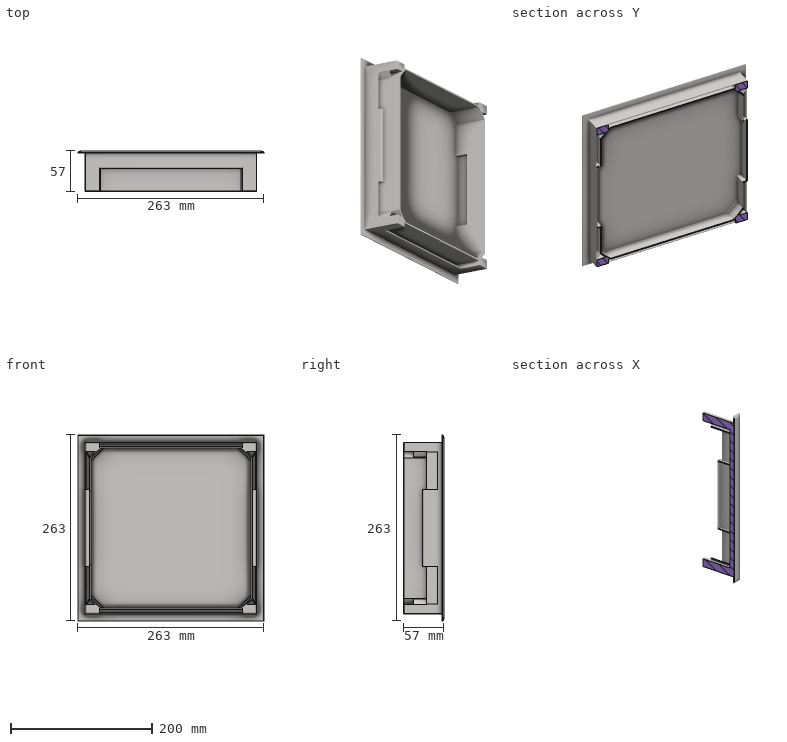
import cadquery as cq
import math

PLATE_SIDE = 263.0
COVER_THICKNESS = 1.8
COVER_CROWN_WIDTH = 5.3
FLANGE_THICKNESS = 1.3
TOTAL_DEPTH = 57.0
TIP_HEIGHT = TOTAL_DEPTH - COVER_THICKNESS

BOX_SIDE = 242.7
BOX_WALL = 2.0
SIDE_WALL = 1.3
WALL_DROP = 32.0
WALL_HEIGHT = TIP_HEIGHT - WALL_DROP
WALL_ROUNDING = 0.92
FLOOR_HEIGHT = 7.5

LEG_WIDTH = 20.0
LEG_BREADTH = 13.0
LEG_ROUNDING = 0.92

RING_SIDE = 231.0
RING_WALL = 2.0
RING_CORNER = 16.0
CORNER_BOW = 0.8

GUSSET_CORNER = 19.2
GUSSET_HEIGHT = 1.5

TAB_LENGTH = 108.5
TAB_DROP = 26.3
TAB_TOP = TIP_HEIGHT - TAB_DROP
TAB_SKIN = 1.8
SLOT_HEIGHT = 19.2
SLOT_TOP = FLOOR_HEIGHT + SLOT_HEIGHT
WEB_WALL = 1.0
WEB_DROP = 14.0
WEB_TOP = TIP_HEIGHT - WEB_DROP

BOX_HALF = BOX_SIDE / 2
RING_HALF = RING_SIDE / 2
RING_INNER_HALF = RING_HALF - RING_WALL
RING_INNER_CORNER = RING_CORNER - RING_WALL * (2 - math.sqrt(2))
SIGNS = (1, -1)
CORNERS = [(sx, sz) for sx in SIGNS for sz in SIGNS]


def plane_at(height):
    """Work plane parallel to the plate, facing -Y."""
    return cq.Workplane("XZ").workplane(offset=height)


def block(x_range, z_range, height_range):
    """Axis-aligned block from its (low, high) limits."""
    x_size = x_range[1] - x_range[0]
    z_size = z_range[1] - z_range[0]
    return (
        plane_at(height_range[0])
        .center(sum(x_range) / 2, sum(z_range) / 2)
        .rect(x_size, z_size)
        .extrude(height_range[1] - height_range[0])
    )


def square_slab(side, low, high):
    return plane_at(low).rect(side, side).extrude(high - low)


def bowed_octagon(half, corner, low, high):
    """Square prism whose corners are cut off by slightly bowed faces."""
    flat = half - corner
    middle = half - corner / 2 + CORNER_BOW / math.sqrt(2)
    return (
        plane_at(low)
        .moveTo(half, -flat)
        .lineTo(half, flat)
        .threePointArc((middle, middle), (flat, half))
        .lineTo(-flat, half)
        .threePointArc((-middle, middle), (-half, flat))
        .lineTo(-half, -flat)
        .threePointArc((-middle, -middle), (-flat, -half))
        .lineTo(flat, -half)
        .threePointArc((middle, -middle), (half, -flat))
        .close()
        .extrude(high - low)
    )


def mirrored_to_corners(piece):
    """Copies of a piece from the (+X, +Z) corner at all four corners."""
    copies = []
    for sx, sz in CORNERS:
        copy = piece
        if sx < 0:
            copy = copy.mirror("YZ")
        if sz < 0:
            copy = copy.mirror("XY")
        copies.append(copy)
    return copies


def make_cover():
    """Back plate with a curved border on all four sides."""
    half = PLATE_SIDE / 2
    crown_half = half - COVER_CROWN_WIDTH
    crown_radius = (COVER_CROWN_WIDTH**2 + COVER_THICKNESS**2) / (2 * COVER_THICKNESS)
    mid_angle = math.asin(COVER_CROWN_WIDTH / crown_radius) / 2
    shoulder = crown_half + crown_radius * math.sin(mid_angle)
    shoulder_height = COVER_THICKNESS - crown_radius * (1 - math.cos(mid_angle))
    crowned = (
        cq.Workplane("XY")
        .moveTo(-half, 0)
        .lineTo(half, 0)
        .threePointArc((shoulder, shoulder_height), (crown_half, COVER_THICKNESS))
        .lineTo(-crown_half, COVER_THICKNESS)
        .threePointArc((-shoulder, shoulder_height), (-half, 0))
        .close()
        .extrude(PLATE_SIDE, both=True)
    )
    return crowned.intersect(crowned.rotate((0, 0, 0), (0, 1, 0), 90))


def make_outer_wall():
    """Low square wall, rounded along its top and bottom sides."""
    x_inner = BOX_HALF - SIDE_WALL
    z_inner = BOX_HALF - BOX_WALL
    inside = block((-x_inner, x_inner), (-z_inner, z_inner), (0, WALL_HEIGHT))
    wall = square_slab(BOX_SIDE, 0, WALL_HEIGHT).cut(inside)
    rim_edges = wall.faces("<Y").edges("|X")
    return rim_edges.fillet(WALL_ROUNDING)


def make_leg():
    """Corner leg, reaching inward as far as the ring."""
    leg = block((BOX_HALF - LEG_WIDTH, BOX_HALF), (BOX_HALF - LEG_BREADTH, BOX_HALF), (0, TIP_HEIGHT))
    return leg.faces("<Y").edges(">X or >Z").fillet(LEG_ROUNDING)


def make_web():
    """Thin sloping web from the lower outer edge of a leg to the ring."""
    outer_x = BOX_HALF - SIDE_WALL / 2
    outer_z = BOX_HALF - LEG_BREADTH
    ring_x = RING_HALF - RING_WALL / 2
    ring_z = RING_HALF - RING_CORNER - RING_WALL / 2
    length = math.hypot(outer_x - ring_x, outer_z - ring_z)
    step_x = -WEB_WALL * (outer_z - ring_z) / length
    step_z = WEB_WALL * (outer_x - ring_x) / length
    return (
        plane_at(0)
        .moveTo(outer_x, outer_z)
        .lineTo(ring_x, ring_z)
        .line(step_x, step_z)
        .lineTo(outer_x + step_x, outer_z + step_z)
        .close()
        .extrude(WEB_TOP)
    )


def make_tab(side):
    """Block bridging the gap between the outer wall and the ring."""
    half = TAB_LENGTH / 2
    limits = sorted((side * BOX_HALF, side * (RING_HALF - RING_WALL / 2)))
    tab = block(limits, (-half, half), (0, TAB_TOP))
    outer_edge = ">X" if side > 0 else "<X"
    return tab.faces("<Y").edges(outer_edge).fillet(WALL_ROUNDING)


def make_slot(side):
    """Cavity under a tab, open through the ring and level with the floor."""
    half = TAB_LENGTH / 2 - TAB_SKIN
    limits = sorted((side * (RING_INNER_HALF - RING_WALL), side * (BOX_HALF - TAB_SKIN)))
    return block(limits, (-half, half), (FLOOR_HEIGHT, SLOT_TOP))


def make_gussets():
    """Small steps at the floor in the four corners of the ring."""
    top = FLOOR_HEIGHT + GUSSET_HEIGHT
    opening = bowed_octagon(RING_INNER_HALF, GUSSET_CORNER, FLOOR_HEIGHT, top)
    return bowed_octagon(RING_INNER_HALF, RING_INNER_CORNER, FLOOR_HEIGHT, top).cut(opening)


def make_housing():
    """Flange, floor, outer wall, ring and legs as one solid."""
    housing = bowed_octagon(RING_HALF, RING_CORNER, 0, TIP_HEIGHT)
    for corner_piece in (make_leg(), make_web()):
        for copy in mirrored_to_corners(corner_piece):
            housing = housing.union(copy)
    inside = bowed_octagon(RING_INNER_HALF, RING_INNER_CORNER, FLOOR_HEIGHT, TIP_HEIGHT)
    housing = housing.cut(inside)

    housing = housing.union(make_gussets())
    housing = housing.union(make_outer_wall())
    housing = housing.union(square_slab(BOX_SIDE, 0, FLOOR_HEIGHT))
    housing = housing.union(square_slab(PLATE_SIDE, 0, FLANGE_THICKNESS))
    for side in SIGNS:
        housing = housing.union(make_tab(side))
        housing = housing.cut(make_slot(side))
    return housing


cover = make_cover()
housing = make_housing()

result = cq.Compound.makeCompound([cover.val(), housing.val()])